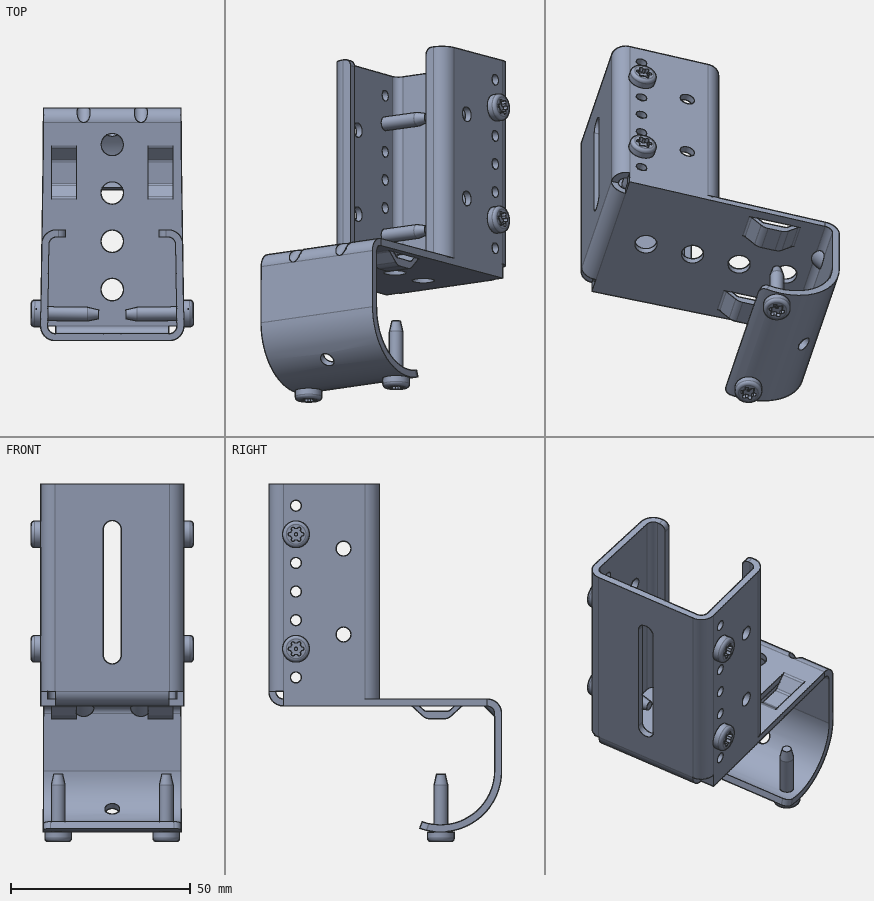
import cadquery as cq
import math

sheet = 2.0
bend_outer = 4.1
bend_inner = bend_outer - sheet

depth = 65.0
front_half = 20.1
rear_half = 19.2
plate_rear = depth - bend_outer
taper = (front_half - rear_half) / plate_rear
wall_tilt = math.atan(taper)
plate_hole_d = 6.2
plate_hole_first = 14.3
plate_hole_pitch = 13.5
plate_hole_count = 4

channel_height = 60.0
channel_depth = 30.9
front_bend_half = 15.8
flange_tip = 13.0
flange_corner = 2.0
slot_width = 5.0
slot_length = 39.9
slot_center_z = 29.7
pilot_d = 3.0
pilot_y = 7.6
pilot_first_z = 6.0
pilot_pitch = 8.0
pilot_count = 7
screwed_pilots = (1, 5)
mount_hole_d = 4.1
mount_hole_y = 20.9
mount_hole_z = (18.0, 41.9)

bridge_x = 13.5
bridge_width = 7.0
bridge_center_y = 46.9
bridge_half_length = 7.0
bridge_half_flat = 3.4
bridge_drop = 3.4
bridge_round = 1.0
bridge_belly_half_flat = 3.1
bridge_belly_depth = 5.6
bridge_belly_round = 3.0

dimple_x = 8.0
dimple_groove_r = 2.0
dimple_bump_r = dimple_groove_r + sheet

curl_outer = 17.1
curl_inner = curl_outer - sheet
curl_y = depth - curl_outer
curl_z = -20.1
curl_past_bottom = math.radians(20)
curl_bottom = curl_z - curl_outer
lip_half = 19.3
lip_corner = 2.0
curl_hole_d = 4.1
curl_hole_angle = 45

shank_d = 3.9
shank_length = 16.2
tip_d = 2.5
tip_length = 3.1
head_d = 7.5
head_height = 2.7
head_round = 1.0
recess_depth = 1.5
recess_core_r = 1.6
lobe_count = 6
first_lobe_angle = 30
lobe_center_r = 1.7
lobe_r = 0.5
pit_d = 0.9
pit_depth = 0.5
lip_screw_x = 15.1
lip_screw_y = 48.0


def half_width(y):
    """Outside half width of the plate and the channel at a given y."""
    return front_half - taper * y


def pilot_z(index):
    return pilot_first_z + index * pilot_pitch


def wall_plane(side, y, z):
    """Plane on the outside of a side wall, with its normal pointing into the channel."""
    inward = (-side * math.cos(wall_tilt), -math.sin(wall_tilt), 0)
    return cq.Plane(origin=(side * half_width(y), y, z), xDir=(0, 0, 1), normal=inward)


def curl_point(radius, angle):
    """Point on the curl, the angle counted from its lowest point toward the front."""
    return (curl_y - radius * math.sin(angle), curl_z - radius * math.cos(angle))


def make_plate():
    """Flat plate that narrows toward the rear."""
    half_front = half_width(bend_outer)
    outline = [
        (-half_front, bend_outer),
        (half_front, bend_outer),
        (rear_half, plate_rear),
        (-rear_half, plate_rear),
    ]
    return cq.Workplane("XY").polyline(outline).close().extrude(-sheet)


def make_channel():
    """Front wall, side walls and rear flanges."""
    def block(y_front, y_rear, half_at_zero, radius):
        """Tapered block with rounded upright edges; its half width is given at y = 0."""
        front = half_at_zero - taper * y_front
        rear = half_at_zero - taper * y_rear
        outline = [(-front, y_front), (front, y_front), (rear, y_rear), (-rear, y_rear)]
        solid = cq.Workplane("XY").polyline(outline).close().extrude(channel_height)
        return solid.edges("|Z").fillet(radius)

    channel = block(0, channel_depth, front_half, bend_outer)
    inner_half = front_half - sheet / math.cos(wall_tilt)
    channel = channel.cut(block(sheet, channel_depth - sheet, inner_half, bend_inner))

    opening = (
        cq.Workplane("XY")
        .box(2 * flange_tip, 2 * sheet, channel_height, centered=(True, True, False))
        .translate((0, channel_depth - sheet / 2, 0))
    )
    channel = channel.cut(opening)
    top_corners = cq.selectors.BoxSelector(
        (-1.1 * flange_tip, channel_depth / 2, 0.9 * channel_height),
        (1.1 * flange_tip, 1.1 * channel_depth, 1.1 * channel_height),
    )
    channel = channel.edges("|Y").edges(top_corners).fillet(flange_corner)

    relief = cq.Workplane("XY").box(
        2 * front_half, bend_outer, bend_outer - sheet, centered=(True, False, False)
    )
    return channel.cut(relief)


def make_front_bend():
    """Quarter bend that joins the plate to the front wall."""
    half = front_bend_half
    center_z = bend_outer - sheet
    ring = (
        cq.Workplane("YZ", origin=(-half, 0, 0))
        .center(bend_outer, center_z)
        .circle(bend_outer)
        .circle(bend_inner)
        .extrude(2 * half)
    )
    quarter = cq.Workplane("XY").box(
        2 * half, bend_outer, bend_outer, centered=(True, False, False)
    ).translate((0, 0, -sheet))
    return ring.intersect(quarter)


def make_arm():
    """Rear bend, vertical arm and curled lip."""
    curl_mid = (curl_past_bottom - math.pi / 2) / 2

    def bend_mid(radius):
        reach = radius * math.sqrt(0.5)
        return (plate_rear + reach, -bend_outer + reach)

    arm = (
        cq.Workplane("YZ", origin=(-front_half, 0, 0))
        .moveTo(plate_rear, 0)
        .threePointArc(bend_mid(bend_outer), (depth, -bend_outer))
        .lineTo(depth, curl_z)
        .threePointArc(curl_point(curl_outer, curl_mid), curl_point(curl_outer, curl_past_bottom))
        .lineTo(*curl_point(curl_inner, curl_past_bottom))
        .threePointArc(curl_point(curl_inner, curl_mid), (depth - sheet, curl_z))
        .lineTo(depth - sheet, -bend_outer)
        .threePointArc(bend_mid(bend_inner), (plate_rear, -sheet))
        .close()
        .extrude(2 * front_half)
    )
    width_outline = [
        (-rear_half, 0),
        (rear_half, 0),
        (lip_half, curl_bottom),
        (-lip_half, curl_bottom),
    ]
    width_limit = cq.Workplane("XZ").polyline(width_outline).close().extrude(-depth)
    arm = arm.intersect(width_limit)
    return arm.faces("<Y").edges("not |X").fillet(lip_corner)


def make_bridge():
    """Dished strip along Y, centered on x = 0 and y = 0."""
    land = bridge_round / 2
    end = bridge_half_length + land
    outline = [
        (-end, 0),
        (-bridge_half_length, 0),
        (-bridge_half_flat, -bridge_drop),
        (bridge_half_flat, -bridge_drop),
        (bridge_half_length, 0),
        (end, 0),
        (end, -sheet),
        (bridge_half_length, -sheet),
        (bridge_belly_half_flat, -bridge_belly_depth),
        (-bridge_belly_half_flat, -bridge_belly_depth),
        (-bridge_half_length, -sheet),
        (-end, -sheet),
    ]
    strip = cq.Workplane("YZ").polyline(outline).close().extrude(bridge_width / 2, both=True)
    inner_edges = cq.selectors.BoxSelector(
        (-bridge_width, -end + land / 2, -bridge_drop - land),
        (bridge_width, end - land / 2, land),
    )
    strip = strip.edges("|X").edges(inner_edges).fillet(bridge_round)
    return strip.faces("<Z").edges("|X").fillet(bridge_belly_round)


def add_bridges(body):
    length = 2 * bridge_half_length + bridge_round
    for side in (-1, 1):
        place = (side * bridge_x, bridge_center_y, 0)
        window = cq.Workplane("XY").box(
            bridge_width, length, sheet, centered=(True, True, False)
        ).translate((0, 0, -sheet))
        body = body.cut(window.translate(place)).union(make_bridge().translate(place))
    return body


def add_dimples(body):
    """Rods at 45 degrees; the groove floor passes through the start line of the bend."""
    lift = dimple_groove_r * math.sqrt(0.5)
    rod_reach = 3 * bend_outer
    inside_bend = (
        cq.Workplane("XY")
        .box(2 * front_half, 2 * bend_outer, 2 * bend_outer)
        .translate((0, depth - sheet - bend_outer, -sheet - bend_outer))
    )
    for side in (-1, 1):
        axis = cq.Plane(
            origin=(side * dimple_x, plate_rear + lift, lift), xDir=(1, 0, 0), normal=(0, 1, -1)
        )
        center = cq.Workplane(axis)
        bump = center.circle(dimple_bump_r).extrude(rod_reach, both=True).intersect(inside_bend)
        groove = center.circle(dimple_groove_r).extrude(rod_reach, both=True)
        body = body.union(bump).cut(groove)
    return body


def cut_plate_holes(body):
    spots = [(0, plate_hole_first + i * plate_hole_pitch) for i in range(plate_hole_count)]
    holes = cq.Workplane("XY").pushPoints(spots).circle(plate_hole_d / 2).extrude(-sheet)
    return body.cut(holes)


def cut_slot(body):
    slot = (
        cq.Workplane("XZ")
        .center(0, slot_center_z)
        .slot2D(slot_length, slot_width, 90)
        .extrude(-sheet)
    )
    return body.cut(slot)


def cut_wall_holes(body):
    for side in (-1, 1):
        spots = [(mount_hole_y, z, mount_hole_d) for z in mount_hole_z]
        for i in range(pilot_count):
            diameter = shank_d if i in screwed_pilots else pilot_d
            spots.append((pilot_y, pilot_z(i), diameter))
        for y, z, diameter in spots:
            hole = cq.Workplane(wall_plane(side, y, z)).circle(diameter / 2)
            body = body.cut(hole.extrude(2 * sheet, both=True))
    return body


def cut_curl_holes(body):
    for side in (-1, 1):
        hole = cq.Workplane("XY", origin=(side * lip_screw_x, lip_screw_y, curl_bottom))
        body = body.cut(hole.circle(shank_d / 2).extrude(2 * sheet))
    angle = math.radians(curl_hole_angle)
    outward = (0, math.cos(angle), -math.sin(angle))
    radial = cq.Plane(origin=(0, curl_y, curl_z), xDir=(1, 0, 0), normal=outward)
    hole = cq.Workplane(radial).circle(curl_hole_d / 2).extrude(curl_outer + sheet)
    return body.cut(hole)


def make_bracket():
    body = make_plate().union(make_channel()).union(make_front_bend()).union(make_arm())
    body = add_bridges(body)
    body = add_dimples(body)
    body = cut_plate_holes(body)
    body = cut_slot(body)
    body = cut_wall_holes(body)
    return cut_curl_holes(body)


def make_screw():
    head = cq.Workplane("XY").circle(head_d / 2).extrude(-head_height)
    head = head.faces("<Z").edges().fillet(head_round)
    shank = cq.Workplane("XY").circle(shank_d / 2).extrude(shank_length - tip_length)
    tip = (
        shank.faces(">Z")
        .workplane()
        .circle(shank_d / 2)
        .workplane(offset=tip_length)
        .circle(tip_d / 2)
        .loft(combine=False)
    )
    recess_plane = cq.Workplane("XY", origin=(0, 0, -head_height))
    recess = recess_plane.circle(recess_core_r).extrude(recess_depth)
    lobe_centers = recess_plane.polarArray(lobe_center_r, first_lobe_angle, 360, lobe_count)
    recess = recess.union(lobe_centers.circle(lobe_r).extrude(recess_depth))
    pit = recess_plane.circle(pit_d / 2).extrude(recess_depth + pit_depth)
    return head.union(shank).union(tip).cut(recess).cut(pit)


def place_screws():
    screw = make_screw().val()
    seats = []
    for side in (-1, 1):
        seats.append(cq.Plane(origin=(side * lip_screw_x, lip_screw_y, curl_bottom)))
        for i in screwed_pilots:
            seats.append(wall_plane(side, pilot_y, pilot_z(i)))
    return [screw.moved(cq.Location(seat)) for seat in seats]


bracket = make_bracket()
screws = place_screws()

result = cq.Compound.makeCompound([bracket.val(), *screws])